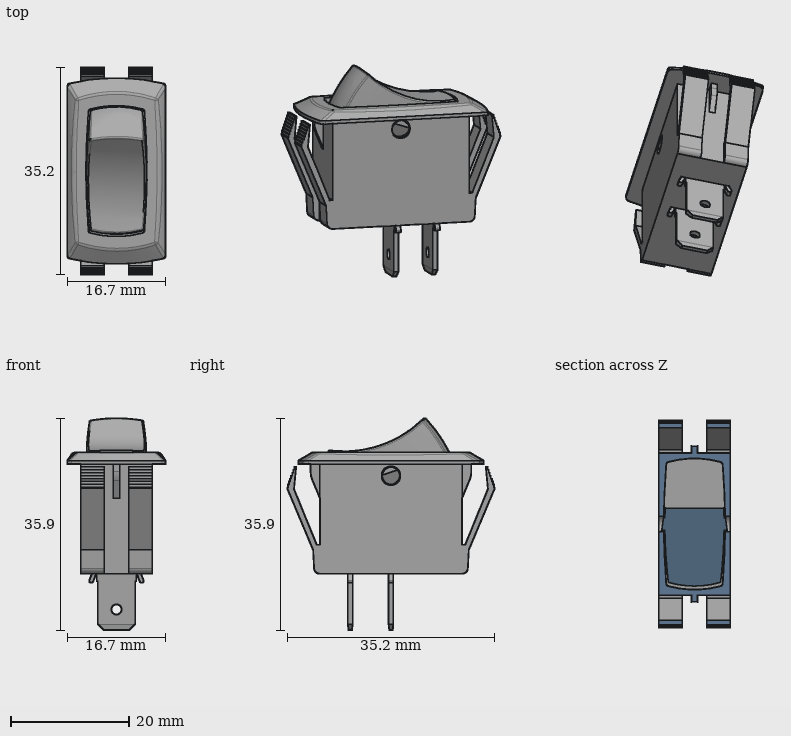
import cadquery as cq
import math


BEZEL_WIDTH = 16.7
BEZEL_HALF_WIDTH = BEZEL_WIDTH / 2
BEZEL_HALF_LENGTH = 15.75
BEZEL_CORNER_Y = 14.75
RIM_HEIGHT = 0.57
BEZEL_HEIGHT = 2.0
CROWN_HALF_WIDTH = 7.4
CROWN_HALF_LENGTH = 13.3
CROWN_CORNER_X = 6.75
CROWN_CORNER_Y = 12.15
BEZEL_CORNER_RADIUS = 0.9
BEZEL_TOP_RADIUS = 1.0

POCKET_HALF_WIDTH = 5.17
POCKET_HALF_LENGTH = 11.1
POCKET_CORNER_X = 4.75
POCKET_CORNER_Y = 10.4
POCKET_CORNER_RADIUS = 0.5
POCKET_DEPTH = 7.9

BODY_HALF_WIDTH = 6.05
BODY_HALF_LENGTH = 12.05
BODY_DEPTH = 18.6
PIVOT_Z = -1.97
PIVOT_HOLE_DIAMETER = 3.2

RIB_WIDTH = 1.05
RIB_REACH = 13.65
RIB_SHOULDER_Z = -1.97
RIB_TOE_Z = -5.78
RIB_RADIUS = 4.02

CLIP_INNER_X = 2.05
CLIP_ROOT_OVERLAP = 0.7
CLIP_ROOT_Y = BODY_HALF_LENGTH - CLIP_ROOT_OVERLAP
CLIP_FOOT_Y = 13.0
CLIP_FOOT_RADIUS = 1.0
CLIP_BEND_Y = 13.2
CLIP_BEND_Z = -14.55
CLIP_SPAN = 35.2
CLIP_KNEE_Y = CLIP_SPAN / 2
CLIP_KNEE_Z = -4.1
CLIP_INNER_KNEE_Y = 16.4
CLIP_INNER_KNEE_Z = -4.25
CLIP_SLOT_Y = 12.55
CLIP_SLOT_Z = -13.65
CLIP_TIP_INNER_Y = 16.05
CLIP_TIP_OUTER_Y = 16.4
CLIP_TIP_Z = -0.43
STEP_COUNT = 7
STEP_DROP = 0.5
STEP_OUT = 0.18

ROCKER_TILT = 18.8
ROCKER_BOTTOM_Z = -1.8
ROCKER_LEVELS = [
    (ROCKER_BOTTOM_Z, 10.87, 5.05),
    (3.23, 10.12, 5.05),
    (8.25, 8.25, 4.95),
]
ROCKER_END_BOW = 0.65
ROCKER_SIDE_RADIUS = 78.95
DISH_RADIUS = 19.0
DISH_CENTER_Z = 24.45
ROCKER_EDGE_RADIUS = 0.3
PIN_DIAMETER = 2.95
PIN_BEVEL_START = 0.57
PIN_BEVEL_DEPTH = 0.85

TERMINAL_YS = [0.0, -6.9]
TERMINAL_THICKNESS = 0.85
TERMINAL_TIP_THICKNESS = 0.6
TERMINAL_END_Z = -28.1
TERMINAL_ROOT_DEPTH = 2.87
NECK_HALF_WIDTH = 3.37
NECK_END_Z = -19.9
BLADE_HALF_WIDTH = 3.2
BLADE_TIP_HALF_WIDTH = 2.2
BLADE_TAPER = 1.0
BLADE_HOLE_DIAMETER = 1.7
BLADE_HOLE_Z = -24.62
BARB_TIP_X = 4.27
BARB_TIP_Z = -19.78
BARB_RADIUS = 0.35
BARB_ANGLE = 22.0
BARB_ARCH_Z = -18.88
BARB_ARCH_SIDE_Z = -19.05


def add_side(plan, middle_x, end):
    """Long side running to end; bowed out through X = middle_x unless that is level with the end."""
    if middle_x == end[0]:
        return plan.lineTo(*end)
    return plan.threePointArc((middle_x, 0), end)


def bowed_rectangle(z, half_width, half_length, corner_x, corner_y):
    """Outline at height z with bowed ends, cornered at (+-corner_x, +-corner_y)."""
    plan = cq.Workplane("XY").workplane(offset=z).moveTo(-corner_x, -corner_y)
    plan = plan.threePointArc((0, -half_length), (corner_x, -corner_y))
    plan = add_side(plan, half_width, (corner_x, corner_y))
    plan = plan.threePointArc((0, half_length), (-corner_x, corner_y))
    plan = add_side(plan, -half_width, (-corner_x, -corner_y))
    return plan.close()


def make_bezel():
    rim_size = (BEZEL_HALF_WIDTH, BEZEL_HALF_LENGTH, BEZEL_HALF_WIDTH, BEZEL_CORNER_Y)
    crown_size = (CROWN_HALF_WIDTH, CROWN_HALF_LENGTH, CROWN_CORNER_X, CROWN_CORNER_Y)
    rim = bowed_rectangle(0, *rim_size).extrude(RIM_HEIGHT).edges("|Z").fillet(BEZEL_CORNER_RADIUS)
    foot_wire = bowed_rectangle(RIM_HEIGHT, *rim_size).val()
    crown_wire = bowed_rectangle(BEZEL_HEIGHT, *crown_size).val()
    crown = cq.Workplane(cq.Solid.makeLoft([foot_wire, crown_wire], True))
    crown = crown.edges("not(<Z or >Z)").fillet(BEZEL_CORNER_RADIUS)
    crown = crown.faces(">Z").edges().fillet(BEZEL_TOP_RADIUS)
    return rim.union(crown)


def make_rib():
    """Rib on the +Y end of the body."""
    rib = (
        cq.Workplane("YZ").workplane(offset=-RIB_WIDTH / 2)
        .moveTo(BODY_HALF_LENGTH, 0)
        .lineTo(RIB_REACH, 0)
        .lineTo(RIB_REACH, RIB_SHOULDER_Z)
        .lineTo(BODY_HALF_LENGTH, RIB_TOE_Z)
        .close().extrude(RIB_WIDTH)
    )
    shoulder = cq.selectors.NearestToPointSelector((0, RIB_REACH, RIB_SHOULDER_Z))
    return rib.edges("|X").edges(shoulder).fillet(RIB_RADIUS)


def make_clip():
    """Snap-in clip on the +X side of the +Y end, with a stepped finger grip."""
    points = [
        (CLIP_ROOT_Y, -BODY_DEPTH),
        (CLIP_ROOT_Y, CLIP_SLOT_Z),
        (CLIP_SLOT_Y, CLIP_SLOT_Z),
        (CLIP_INNER_KNEE_Y, CLIP_INNER_KNEE_Z),
        (CLIP_TIP_INNER_Y, CLIP_TIP_Z),
    ]
    for i in range(STEP_COUNT):
        riser_y = CLIP_TIP_OUTER_Y + i * STEP_OUT
        points.append((riser_y, CLIP_TIP_Z - i * STEP_DROP))
        points.append((riser_y, CLIP_TIP_Z - (i + 1) * STEP_DROP))
    points += [
        (CLIP_KNEE_Y, CLIP_KNEE_Z),
        (CLIP_BEND_Y, CLIP_BEND_Z),
        (CLIP_FOOT_Y, -BODY_DEPTH),
    ]
    clip = (
        cq.Workplane("YZ").workplane(offset=CLIP_INNER_X)
        .polyline(points).close().extrude(BODY_HALF_WIDTH - CLIP_INNER_X)
    )
    foot = cq.selectors.NearestToPointSelector((BODY_HALF_WIDTH, CLIP_FOOT_Y, -BODY_DEPTH))
    return clip.edges("|X").edges(foot).fillet(CLIP_FOOT_RADIUS)


def make_housing():
    body = cq.Workplane("XY").box(
        2 * BODY_HALF_WIDTH, 2 * BODY_HALF_LENGTH, BODY_DEPTH, centered=(True, True, False)
    ).translate((0, 0, -BODY_DEPTH))
    housing = body.union(make_bezel())
    rib = make_rib()
    housing = housing.union(rib).union(rib.mirror("XZ"))
    clip = make_clip()
    clip_pair = clip.union(clip.mirror("YZ"))
    housing = housing.union(clip_pair).union(clip_pair.mirror("XZ"))
    pocket = bowed_rectangle(
        -POCKET_DEPTH, POCKET_HALF_WIDTH, POCKET_HALF_LENGTH, POCKET_CORNER_X, POCKET_CORNER_Y
    ).extrude(POCKET_DEPTH + BEZEL_HEIGHT).edges("|Z").fillet(POCKET_CORNER_RADIUS)
    pivot_hole = (
        cq.Workplane("YZ").center(0, PIVOT_Z)
        .circle(PIVOT_HOLE_DIAMETER / 2).extrude(BODY_HALF_WIDTH, both=True)
    )
    housing = housing.cut(pocket).cut(pivot_hole)
    for y in TERMINAL_YS:
        housing = housing.cut(make_terminal(y))
    return housing


def make_pin():
    """Pivot pin ending flush with the housing sides, each end bevelled below a flat."""
    pin = cq.Workplane("YZ").circle(PIN_DIAMETER / 2).extrude(BODY_HALF_WIDTH, both=True)
    radius = PIN_DIAMETER / 2
    bevel = (
        cq.Workplane("XZ").workplane(offset=-radius)
        .moveTo(BODY_HALF_WIDTH, PIN_BEVEL_START)
        .lineTo(BODY_HALF_WIDTH, -radius)
        .lineTo(BODY_HALF_WIDTH - PIN_BEVEL_DEPTH, -radius)
        .close().extrude(PIN_DIAMETER)
    )
    return pin.cut(bevel).cut(bevel.mirror("YZ"))


def make_rocker():
    wires = []
    for z, half_length, half_width in ROCKER_LEVELS:
        corner_y = half_length - ROCKER_END_BOW
        side_bow = ROCKER_SIDE_RADIUS - math.sqrt(ROCKER_SIDE_RADIUS**2 - corner_y**2)
        corner_x = half_width - side_bow
        wires.append(bowed_rectangle(z, half_width, half_length, corner_x, corner_y).val())
    button = cq.Workplane(cq.Solid.makeLoft(wires))
    dish = (
        cq.Workplane("YZ").center(0, DISH_CENTER_Z)
        .circle(DISH_RADIUS).extrude(BEZEL_HALF_WIDTH, both=True)
    )
    button = button.cut(dish)
    button = button.edges("not(<Z)").fillet(ROCKER_EDGE_RADIUS)
    rocker = button.union(make_pin())
    return rocker.rotate((0, 0, 0), (1, 0, 0), ROCKER_TILT).translate((0, 0, PIVOT_Z))


def make_terminal(y):
    """Blade terminal centred on plane Y = y, with splayed barbs under the housing."""
    sin_barb = math.sin(math.radians(BARB_ANGLE))
    cos_barb = math.cos(math.radians(BARB_ANGLE))
    outer = (BARB_TIP_X + BARB_RADIUS * cos_barb, BARB_TIP_Z + BARB_RADIUS * sin_barb)
    tip = (BARB_TIP_X + BARB_RADIUS * sin_barb, BARB_TIP_Z - BARB_RADIUS * cos_barb)
    inner = (BARB_TIP_X - BARB_RADIUS * cos_barb, BARB_TIP_Z - BARB_RADIUS * sin_barb)
    lean = sin_barb / cos_barb
    root_half_width = outer[0] - lean * (-BODY_DEPTH - outer[1])
    arch_outer_x = inner[0] - lean * (BARB_ARCH_SIDE_Z - inner[1])
    arch_middle_x = (arch_outer_x + NECK_HALF_WIDTH) / 2
    root_top_z = TERMINAL_ROOT_DEPTH - BODY_DEPTH
    taper_z = TERMINAL_END_Z + BLADE_TAPER

    half = (
        cq.Workplane("XZ").workplane(offset=-y - TERMINAL_THICKNESS / 2)
        .moveTo(0, root_top_z)
        .lineTo(root_half_width, root_top_z)
        .lineTo(root_half_width, -BODY_DEPTH)
        .lineTo(*outer)
        .threePointArc(tip, inner)
        .lineTo(arch_outer_x, BARB_ARCH_SIDE_Z)
        .threePointArc((arch_middle_x, BARB_ARCH_Z), (NECK_HALF_WIDTH, BARB_ARCH_SIDE_Z))
        .lineTo(NECK_HALF_WIDTH, NECK_END_Z)
        .lineTo(BLADE_HALF_WIDTH, NECK_END_Z)
        .lineTo(BLADE_HALF_WIDTH, taper_z)
        .lineTo(BLADE_TIP_HALF_WIDTH, TERMINAL_END_Z)
        .lineTo(0, TERMINAL_END_Z)
        .close().extrude(TERMINAL_THICKNESS)
    )
    terminal = half.union(half.mirror("YZ"))
    thickness_profile = (
        cq.Workplane("YZ").workplane(offset=-BEZEL_HALF_WIDTH)
        .moveTo(y - TERMINAL_THICKNESS / 2, root_top_z)
        .lineTo(y + TERMINAL_THICKNESS / 2, root_top_z)
        .lineTo(y + TERMINAL_THICKNESS / 2, taper_z)
        .lineTo(y + TERMINAL_TIP_THICKNESS / 2, TERMINAL_END_Z)
        .lineTo(y - TERMINAL_TIP_THICKNESS / 2, TERMINAL_END_Z)
        .lineTo(y - TERMINAL_THICKNESS / 2, taper_z)
        .close().extrude(BEZEL_WIDTH)
    )
    hole = (
        cq.Workplane("XZ").workplane(offset=-y - TERMINAL_THICKNESS / 2)
        .center(0, BLADE_HOLE_Z).circle(BLADE_HOLE_DIAMETER / 2).extrude(TERMINAL_THICKNESS)
    )
    return terminal.intersect(thickness_profile).cut(hole)


housing = make_housing()
rocker = make_rocker()
terminals = [make_terminal(y) for y in TERMINAL_YS]

result = cq.Compound.makeCompound([housing.val(), rocker.val(), *[t.val() for t in terminals]])